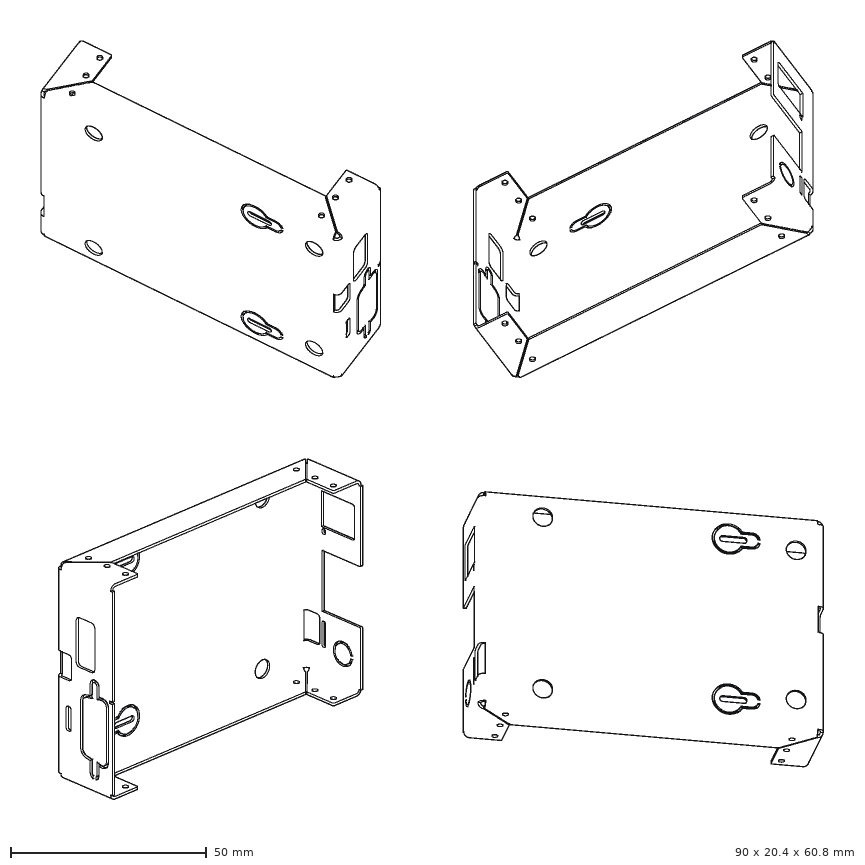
import cadquery as cq
import math

LENGTH = 90.0
DEPTH = 20.4
HEIGHT = 60.8
SHEET = 0.765
BEND_RADIUS = 1.6

FLANGE_WIDTH = 9.9
FLANGE_BACK = 19.8
MITRE_GAP = 0.4
RELIEF_CLEARANCE = 0.1
RELIEF = BEND_RADIUS + RELIEF_CLEARANCE
FLANGE_HOLE_DIAMETER = 1.5
FLANGE_HOLE_X = 37.3
FLANGE_HOLE_Y = (4.05, 10.8, 17.45)

MOUNT_HOLE_DIAMETER = 5.1
LEFT_HOLE_X, LEFT_HOLE_Z = -28.4, 24.1
RIGHT_HOLE_X, RIGHT_HOLE_Z = 37.6, 21.0
KEYHOLE_X, KEYHOLE_Z = 20.0, 22.5
KEYHOLE_RADIUS = 4.2
KEYHOLE_NECK_RADIUS = 2.25
KEYHOLE_REACH = 8.3
KEYHOLE_GAP = 0.5
KEYHOLE_SLOT_LENGTH = 7.1
KEYHOLE_SLOT_WIDTH = 1.6
KEYHOLE_SLOT_OFFSET = 1.3
BRIDGE_WIDTH = 1.0

PORT_WINDOW = (6.2, 18.2, 12.7, 22.8)
OPEN_NOTCH = (6.5, DEPTH, -11.2, 6.0)
SMALL_SLOT = (6.5, 7.6, 10.8, 12.2)
LONG_SLOT = (6.5, 7.6, -21.1, -13.9)
LEFT_BEND_WINDOW = (0, 5.6, -21.1, -12.5)
RIGHT_BEND_WINDOW = (0, 5.6, -1.5, 5.8)
ROUNDED_WINDOW = (7.3, 14.0, 3.5, 17.5)
RIGHT_SLOT = (3.7, 5.4, -15.7, -8.9)
EDGE_NOTCH = (19.3, DEPTH, -3.0, -2.3)
WINDOW_RADIUS = 1.3
BEND_WINDOW_RADIUS = 1.0
PORT_RADIUS = 0.7
RIGHT_SLOT_RADIUS = 0.5
SLOT_RADIUS = 0.4
EDGE_ROUND = 0.4

ROUND_Y, ROUND_Z = 13.95, -20.7
ROUND_RADIUS = 3.4
ROUND_GAP = 0.5

CONNECTOR_Y, CONNECTOR_Z = 13.95, -12.3
CONNECTOR_HALF_WIDTH = 5.0
CONNECTOR_HALF_HEIGHT = 9.45
CONNECTOR_TAPER = math.radians(10)
CONNECTOR_CORNER_RADIUS = 2.3
NECK_WIDTH = 3.15
NECK_HALF_HEIGHT = 14.0
CONNECTOR_GAP = 0.7

HALF_LENGTH = LENGTH / 2
HALF_HEIGHT = HEIGHT / 2
LEFT, RIGHT = -1, 1
BOTTOM, TOP = -1, 1
CUT_MARGIN = 0.9
WALL_CUT = SHEET + 2 * CUT_MARGIN
PLATE_CUT = -WALL_CUT


def span_box(x_span, y_span, z_span):
    """Box between two coordinates on each axis, given in either order."""
    spans = [sorted(span) for span in (x_span, y_span, z_span)]
    sizes = [high - low for low, high in spans]
    corner = cq.Vector(*[low for low, high in spans])
    return cq.Workplane("XY").box(*sizes, centered=False).translate(corner)


def plate_plane(x, z):
    """Plane on the front plate: local X is X, local Y is Z, a negative extrusion goes inwards."""
    return cq.Workplane(cq.Plane((x, -CUT_MARGIN, z), (1, 0, 0), (0, -1, 0)))


def wall_plane(side, y, z):
    """Plane just short of a side wall on its -X side: local X is Y, local Y is Z, extrusion goes to +X."""
    start = side * (HALF_LENGTH - SHEET / 2) - SHEET / 2 - CUT_MARGIN
    return cq.Workplane(cq.Plane((start, y, z), (0, 1, 0), (1, 0, 0)))


def tray():
    """Bent shell, open at the back, with every front and side bend rounded."""
    outer = cq.Workplane("XY").box(LENGTH, DEPTH, HEIGHT).edges("|Y or <Y").fillet(BEND_RADIUS)
    inner = (
        cq.Workplane("XY")
        .box(LENGTH - 2 * SHEET, DEPTH, HEIGHT - 2 * SHEET)
        .edges("|Y or <Y")
        .fillet(BEND_RADIUS - SHEET)
        .translate((0, SHEET, 0))
    )
    return outer.cut(inner).translate((0, DEPTH / 2, 0))


def flange_cuts():
    """Open the top and bottom to L-shaped flanges and step them below the wall edges."""
    inner_x = HALF_LENGTH - FLANGE_WIDTH
    bend_line = HALF_HEIGHT - BEND_RADIUS
    full_height = (-HALF_HEIGHT - CUT_MARGIN, HALF_HEIGHT + CUT_MARGIN)
    cut = span_box((-inner_x, inner_x), (FLANGE_WIDTH, DEPTH + CUT_MARGIN), full_height)
    for level in (BOTTOM, TOP):
        step_z = (level * bend_line, level * (HALF_HEIGHT + CUT_MARGIN))
        cut = cut.union(span_box((-HALF_LENGTH, HALF_LENGTH), (FLANGE_BACK, DEPTH + CUT_MARGIN), step_z))
    return cut


def corner_cuts():
    """Bend reliefs at the four front corners, and the mitre gaps that run back from them."""
    mitre_length = math.hypot(FLANGE_WIDTH, FLANGE_WIDTH)
    cut = cq.Workplane("XY")
    for side in (LEFT, RIGHT):
        corner_x = side * HALF_LENGTH
        for level in (BOTTOM, TOP):
            bend_line = level * (HALF_HEIGHT - BEND_RADIUS)
            outside = level * (HALF_HEIGHT + CUT_MARGIN)
            relief = span_box((corner_x, corner_x - side * RELIEF), (0, RELIEF), (bend_line, outside))
            mitre = (
                span_box((0, mitre_length), (-MITRE_GAP / 2, MITRE_GAP / 2), (bend_line, outside))
                .rotate((0, 0, 0), (0, 0, 1), 90 + side * 45)
                .translate((corner_x, 0, 0))
            )
            cut = cut.union(relief).union(mitre)
    return cut


def flange_holes():
    points = [(side * FLANGE_HOLE_X, y) for side in (LEFT, RIGHT) for y in FLANGE_HOLE_Y]
    return (
        cq.Workplane("XY")
        .pushPoints(points)
        .circle(FLANGE_HOLE_DIAMETER / 2)
        .extrude(HALF_HEIGHT + CUT_MARGIN, both=True)
    )


def mount_holes():
    points = [
        (x, level * z)
        for x, z in ((LEFT_HOLE_X, LEFT_HOLE_Z), (RIGHT_HOLE_X, RIGHT_HOLE_Z))
        for level in (BOTTOM, TOP)
    ]
    return plate_plane(0, 0).pushPoints(points).circle(MOUNT_HOLE_DIAMETER / 2).extrude(PLATE_CUT)


def keyhole_outline(z, inset):
    """Round head with a rounded neck towards +X, shrunk all round by the inset."""
    reach = KEYHOLE_REACH - inset
    neck_radius = KEYHOLE_NECK_RADIUS - inset
    plane = plate_plane(KEYHOLE_X, z)
    head = plane.circle(KEYHOLE_RADIUS - inset).extrude(PLATE_CUT)
    neck = plane.center(reach / 2, 0).slot2D(reach, 2 * neck_radius)
    return head.union(neck.extrude(PLATE_CUT))


def keyhole_cuts(z):
    """Knockout gap held by a bridge at the neck tip, plus the slot in the knockout."""
    gap = keyhole_outline(z, 0).cut(keyhole_outline(z, KEYHOLE_GAP))
    bridge = (
        plate_plane(KEYHOLE_X + KEYHOLE_REACH, z)
        .rect(2 * KEYHOLE_NECK_RADIUS, BRIDGE_WIDTH)
        .extrude(PLATE_CUT)
    )
    slot = (
        plate_plane(KEYHOLE_X + KEYHOLE_SLOT_OFFSET, z)
        .slot2D(KEYHOLE_SLOT_LENGTH, KEYHOLE_SLOT_WIDTH)
        .extrude(PLATE_CUT)
    )
    return gap.cut(bridge).union(slot)


def wall_window(side, limits, corner_radius=0, corners="|X"):
    """Rectangular cut through one side wall with the chosen corners rounded."""
    y_low, y_high, z_low, z_high = limits
    window = (
        wall_plane(side, (y_low + y_high) / 2, (z_low + z_high) / 2)
        .rect(y_high - y_low, z_high - z_low)
        .extrude(WALL_CUT)
    )
    if corner_radius:
        window = window.edges(corners).fillet(corner_radius)
    return window


def bend_window(side, limits):
    """Window that runs around the front bend as far as the flat of the front plate."""
    y_low, y_high, z_low, z_high = limits
    x_span = (side * (HALF_LENGTH + CUT_MARGIN), side * (HALF_LENGTH - BEND_RADIUS))
    window = span_box(x_span, (y_low, y_high), (z_low, z_high))
    return window.edges("|X and >Y").fillet(BEND_WINDOW_RADIUS)


def round_knockout():
    """Ring-shaped gap with one bridge on its +Y side."""
    plane = wall_plane(LEFT, ROUND_Y, ROUND_Z)
    ring = plane.circle(ROUND_RADIUS).circle(ROUND_RADIUS - ROUND_GAP).extrude(WALL_CUT)
    bridge = plane.center(ROUND_RADIUS, 0).rect(2 * ROUND_GAP + BRIDGE_WIDTH, BRIDGE_WIDTH)
    return ring.cut(bridge.extrude(WALL_CUT))


def connector_outline(inset):
    """Tapered body, taller at the back, with a rounded screw neck through its middle."""
    plane = wall_plane(RIGHT, CONNECTOR_Y, CONNECTOR_Z)
    half_width = CONNECTOR_HALF_WIDTH - inset
    middle = CONNECTOR_HALF_HEIGHT - inset / math.cos(CONNECTOR_TAPER)
    rise = half_width * math.tan(CONNECTOR_TAPER)
    body = (
        plane.moveTo(-half_width, rise - middle)
        .lineTo(half_width, -rise - middle)
        .lineTo(half_width, middle + rise)
        .lineTo(-half_width, middle - rise)
        .close()
        .extrude(WALL_CUT)
        .edges("|X")
        .fillet(CONNECTOR_CORNER_RADIUS - inset)
    )
    neck = plane.slot2D(2 * (NECK_HALF_HEIGHT - inset), NECK_WIDTH - 2 * inset, 90).extrude(WALL_CUT)
    return body.union(neck)


def connector_knockout():
    """Gap around the connector shape with one bridge at the lower neck tip."""
    gap = connector_outline(0).cut(connector_outline(CONNECTOR_GAP))
    bridge = (
        wall_plane(RIGHT, CONNECTOR_Y, CONNECTOR_Z - NECK_HALF_HEIGHT)
        .rect(BRIDGE_WIDTH, NECK_WIDTH)
        .extrude(WALL_CUT)
    )
    return gap.cut(bridge)


def round_flange_corners(part):
    """Soften the free back corners of the top and bottom flanges."""
    corner_x = HALF_LENGTH - FLANGE_WIDTH
    for side in (LEFT, RIGHT):
        for level in (BOTTOM, TOP):
            middle = (side * corner_x, FLANGE_BACK, level * (HALF_HEIGHT - SHEET / 2))
            part = part.edges(cq.selectors.NearestToPointSelector(middle)).fillet(EDGE_ROUND)
    return part


def round_notch_corners(part):
    """Soften the two back corners where the open notch leaves the left wall."""
    for z in OPEN_NOTCH[2:]:
        middle = (-HALF_LENGTH + SHEET / 2, DEPTH, z)
        part = part.edges(cq.selectors.NearestToPointSelector(middle)).fillet(EDGE_ROUND)
    return part


result = tray().cut(flange_cuts()).cut(corner_cuts())
result = round_flange_corners(result)

result = result.cut(flange_holes()).cut(mount_holes())
for keyhole_z in (-KEYHOLE_Z, KEYHOLE_Z):
    result = result.cut(keyhole_cuts(keyhole_z))

result = (
    result.cut(wall_window(LEFT, PORT_WINDOW, PORT_RADIUS, "|X and >Y"))
    .cut(wall_window(LEFT, OPEN_NOTCH))
    .cut(wall_window(LEFT, SMALL_SLOT, SLOT_RADIUS))
    .cut(wall_window(LEFT, LONG_SLOT, SLOT_RADIUS))
    .cut(bend_window(LEFT, LEFT_BEND_WINDOW))
    .cut(round_knockout())
)
result = round_notch_corners(result)

result = (
    result.cut(wall_window(RIGHT, ROUNDED_WINDOW, WINDOW_RADIUS))
    .cut(wall_window(RIGHT, RIGHT_SLOT, RIGHT_SLOT_RADIUS))
    .cut(wall_window(RIGHT, EDGE_NOTCH))
    .cut(bend_window(RIGHT, RIGHT_BEND_WINDOW))
    .cut(connector_knockout())
)